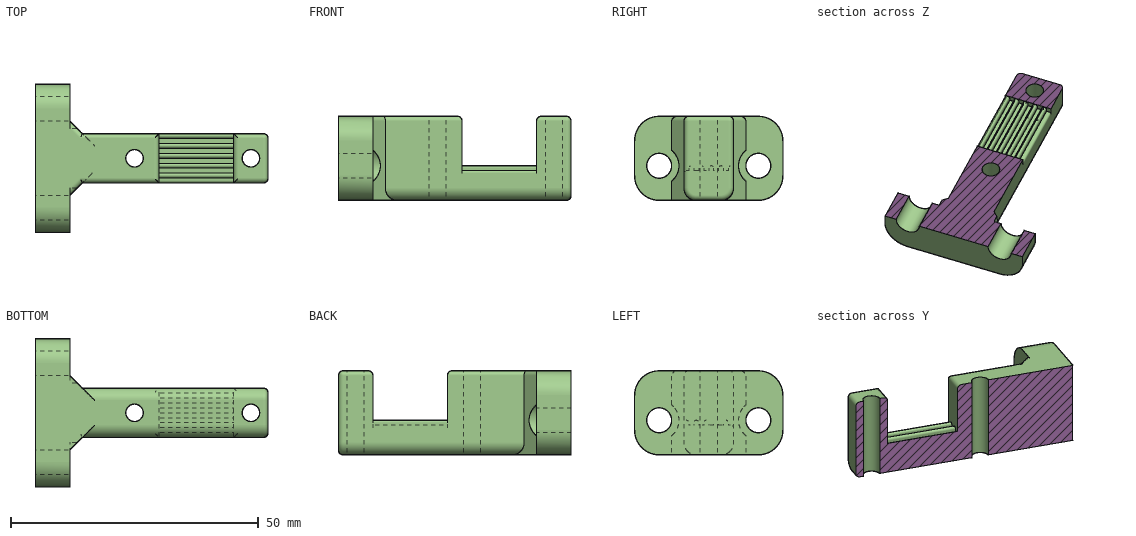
import cadquery as cq

length = 47.0
plate_width = 30.0
height = 17.0

plate_thickness = 7.0
plate_corner_radius = 5.0
mount_hole_diameter = 5.0
mount_hole_spacing = 20.0
mount_hole_z = 7.0
screw_head_diameter = 8.0

arm_width = 10.0
arm_half = arm_width / 2
bottom_radius = 2.5
edge_radius = 1.0
gusset_size = 2.5
pin_hole_diameter = 3.5
pin_hole_positions = (20.0, 43.5)

slot_start = 25.0
slot_length = 15.0
slot_floor_z = 6.0
ridge_count = 5
ridge_width = arm_width / 10
ridge_pitch = 2 * ridge_width
ridge_radius = ridge_width / 2
ridge_height = ridge_width


def mounting_plate():
    plate = cq.Workplane("XY").box(plate_thickness, plate_width, height, centered=(False, True, False))
    return plate.edges("|X").fillet(plate_corner_radius)


def gussets():
    """Triangular block whose two 45 degree faces brace the arm against the plate."""
    base_half = arm_half + gusset_size
    outline = [
        (plate_thickness, -base_half),
        (plate_thickness + base_half, 0),
        (plate_thickness, base_half),
    ]
    return cq.Workplane("XY").polyline(outline).close().extrude(height)


def arm():
    body = (
        cq.Workplane("XY")
        .box(length - plate_thickness, arm_width, height, centered=(False, True, False))
        .translate((plate_thickness, 0, 0))
        .edges("|X and <Z")
        .fillet(bottom_radius)
    )
    slot = (
        cq.Workplane("XY", origin=(slot_start, 0, slot_floor_z))
        .box(slot_length, arm_width, height, centered=(False, True, False))
    )
    body = body.cut(slot)
    floor_edges = cq.selectors.BoxSelector(
        (slot_start, -arm_width, slot_floor_z - ridge_radius),
        (slot_start + slot_length, arm_width, slot_floor_z + ridge_radius),
    )
    body = body.edges(floor_edges).edges("|X").edges("<Y").fillet(ridge_radius)
    body = body.union(gussets())
    return body.faces(">Z or >X").edges("not <X").fillet(edge_radius)


def grip_ridges():
    """Round-topped ridges, the first flush with the +Y side of the arm."""
    shoulder_z = slot_floor_z + ridge_height - ridge_radius
    ridges = cq.Workplane("YZ", origin=(slot_start, 0, 0))
    for index in range(ridge_count):
        center_y = arm_half - ridge_radius - index * ridge_pitch
        right = center_y + ridge_radius
        left = center_y - ridge_radius
        root_z = slot_floor_z - ridge_height
        ridges = (
            ridges.moveTo(left, root_z)
            .lineTo(right, root_z)
            .lineTo(right, shoulder_z)
            .threePointArc((center_y, slot_floor_z + ridge_height), (left, shoulder_z))
            .close()
        )
    return ridges.extrude(slot_length)


def mount_cylinders(diameter, start_x, depth):
    return (
        cq.Workplane("YZ", origin=(start_x, 0, mount_hole_z))
        .pushPoints([(-mount_hole_spacing / 2, 0), (mount_hole_spacing / 2, 0)])
        .circle(diameter / 2)
        .extrude(depth)
    )


def pin_holes():
    return (
        cq.Workplane("XY")
        .pushPoints([(x, 0) for x in pin_hole_positions])
        .circle(pin_hole_diameter / 2)
        .extrude(height)
    )


head_clearance = mount_cylinders(screw_head_diameter, plate_thickness, gusset_size)

result = (
    arm()
    .union(grip_ridges())
    .cut(head_clearance)
    .union(mounting_plate())
    .cut(mount_cylinders(mount_hole_diameter, 0, plate_thickness))
    .cut(pin_holes())
)